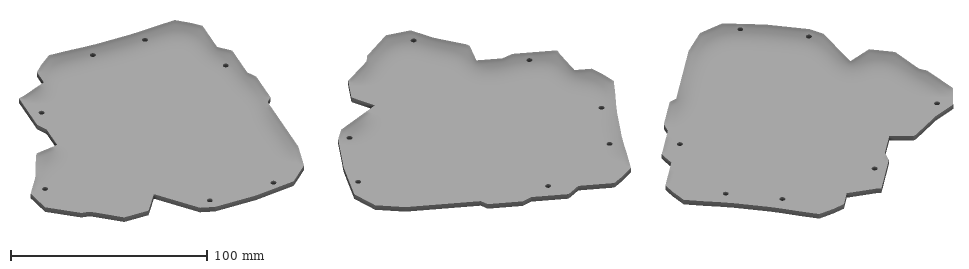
import cadquery as cq

length = 145.18
width = 142.9
thickness = 3.0
hole_diameter = 3.0

left = -length / 2
right = length / 2
back = width / 2
front = -width / 2

back_shoulder_y = 68.6
left_block_back_y = 62.7
left_block_mid_y = 16.6
left_block_front_y = 2 * left_block_mid_y - left_block_back_y
waist_x = -71.1
thumb_right_x = 61.7
front_shoulder_y = -43.4
front_edge_y = -46.3

left_half = [
    (waist_x, 26.0),
    (-71.4, 32.4),
    (-72.1, 41.9),
    (left, 51.6),
    (-67.2, 58.2),
    (-62.7, left_block_back_y),
]

back_edge = [
    (-44.2, left_block_back_y),
    (-39.9, 67.2),
    (-38.4, back_shoulder_y),
    (-19.4, back_shoulder_y),
    (-14.6, back),
    (3.4, back),
    (6.6, back_shoulder_y),
]

right_side = [
    (45.3, back_shoulder_y),
    (60.4, 65.2),
    (69.9, 55.2),
    (right, 33.2),
    (right, 10.4),
    (70.1, 3.0),
]

thumb_lobe = [
    (50.7, -14.1),
    (thumb_right_x, -21.9),
    (thumb_right_x, -35.4),
    (51.8, -47.9),
    (50.4, -49.8),
    (49.7, -53.9),
    (38.1, -69.1),
    (25.2, front),
    (24.1, -70.8),
    (14.4, -64.2),
    (-1.8, -56.7),
    (-3.2, -55.5),
    (-5.2, front_shoulder_y),
]

front_edge = [
    (-18.5, front_shoulder_y),
    (-24.0, front_edge_y),
    (-47.1, front_edge_y),
    (-47.9, front_shoulder_y),
    (-53.8, left_block_front_y),
]

hole_centres = [
    (-28.9, 60.8),
    (66.7, 45.4),
    (-64.2, 31.3),
    (66.7, 10.0),
    (-63.7, 2.1),
    (-32.0, -40.3),
    (24.6, -63.2),
]


def mirrored_about_left_middle(points):
    """Reflect points across the left side's middle line, keeping the outline order."""
    return [(x, 2 * left_block_mid_y - y) for x, y in reversed(points)]


def make_plate():
    outline = (
        left_half
        + back_edge
        + right_side
        + thumb_lobe
        + front_edge
        + mirrored_about_left_middle(left_half)
    )
    return cq.Workplane("XY").polyline(outline).close().extrude(thickness)


def drill_holes(plate):
    drills = (
        cq.Workplane("XY")
        .pushPoints(hole_centres)
        .circle(hole_diameter / 2)
        .extrude(thickness)
    )
    return plate.cut(drills)


result = drill_holes(make_plate())